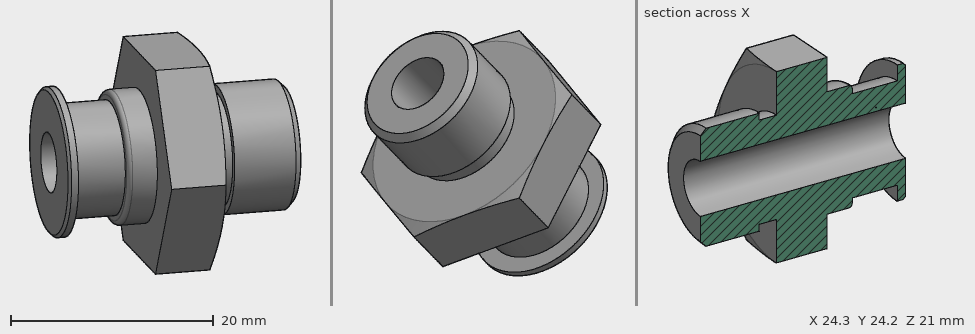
import cadquery as cq
import math

hex_corners = 24.25
hex_flats = hex_corners * math.cos(math.radians(30))
hex_chamfer_angle = 15.0
bore_radius = 3.0
neck_radius = 5.75

flange_length = 1.0
front_neck_length = 5.26
collar_length = 3.0
hex_length = 6.0
rear_neck_length = 2.0
spigot_length = 6.95

flange_radius = 7.5
flange_chamfer = 0.3
collar_radius = 6.75
collar_fillet = 0.48
spigot_radius = 6.5
spigot_chamfer = 0.68

front_neck_start = flange_length
collar_start = front_neck_start + front_neck_length
hex_start = collar_start + collar_length
hex_end = hex_start + hex_length
spigot_start = hex_end + rear_neck_length
total_length = spigot_start + spigot_length


def section_plane(start):
    """Plane across the axis at the given station, facing -Y."""
    return cq.Workplane("XZ", origin=(0, start, 0))


def cylinder(start, length, radius):
    """Round section extending rearward from the given station."""
    return section_plane(start).circle(radius).extrude(-length)


def hexagon():
    """Hexagon with two flats facing up and down, its rear corners turned off by a cone."""
    blank = section_plane(hex_start).polygon(6, hex_corners).extrude(-hex_length)
    flat_radius = hex_flats / 2
    cone_base_radius = flat_radius + hex_length / math.tan(math.radians(hex_chamfer_angle))
    envelope = (
        cq.Workplane("XY")
        .moveTo(0, hex_start)
        .lineTo(cone_base_radius, hex_start)
        .lineTo(flat_radius, hex_end)
        .lineTo(0, hex_end)
        .close()
        .revolve(360, (0, 0, 0), (0, 1, 0))
    )
    return blank.intersect(envelope)


flange = cylinder(0, flange_length, flange_radius).faces("<Y").edges().chamfer(flange_chamfer)
collar = cylinder(collar_start, collar_length, collar_radius).faces("<Y").edges().fillet(collar_fillet)
spigot = cylinder(spigot_start, spigot_length, spigot_radius).faces(">Y").edges().chamfer(spigot_chamfer)
front_neck = cylinder(front_neck_start, front_neck_length, neck_radius)
rear_neck = cylinder(hex_end, rear_neck_length, neck_radius)
bore = cylinder(0, total_length, bore_radius)

result = flange
for section in (front_neck, collar, hexagon(), rear_neck, spigot):
    result = result.union(section)
result = result.cut(bore)